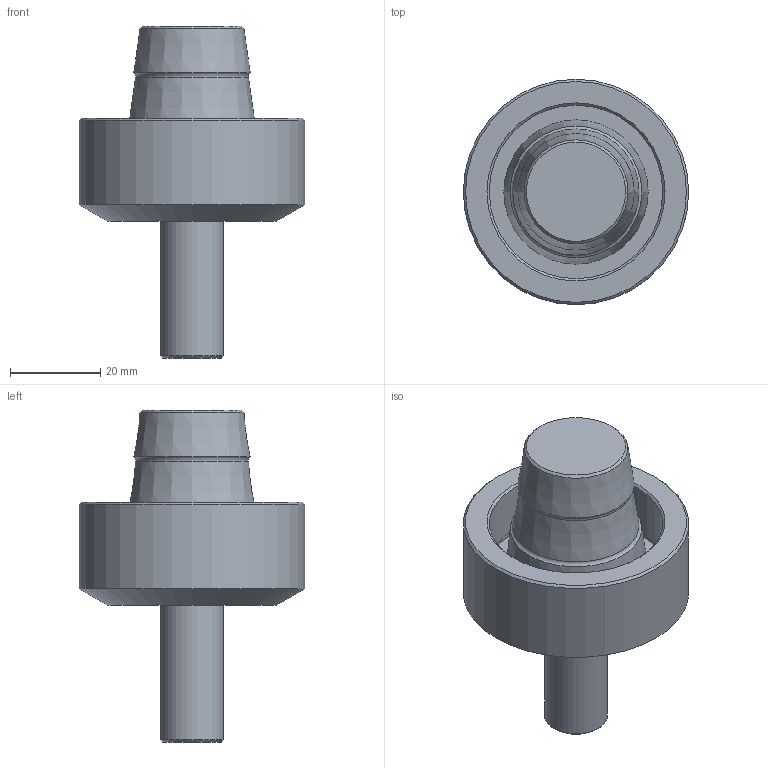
import cadquery as cq
import math

total_height = 73.65
rim_height = 53.21
cup_base_height = 30.36
ledge_height = 51.25
floor_height = 39.5
plug_step_height = 63.3

shank_radius = 14.0 / 2
cup_radius = 50.0 / 2
cup_base_radius = 18.75
cup_base_angle = 30.0
bore_radius = 38.5 / 2
undercut_radius = 40.5 / 2
undercut_height = 2.0
edge_chamfer = 0.5

taper_angle = 8.0
plug_foot_radius = 32.0 / 2
ledge_blend_height = 0.85
ledge_outer_radius = 14.6
plug_step_radius = 12.9
plug_neck_radius = 12.53
plug_neck_height = 62.3

taper = math.tan(math.radians(taper_angle))


def plug_top_radius():
    """Radius of the upper taper where it meets the top chamfer."""
    return plug_step_radius - taper * (total_height - edge_chamfer - plug_step_height)


def middle_taper_radius(height):
    """Radius of the middle taper at a height."""
    return plug_neck_radius + taper * (plug_neck_height - height)


def blend_middle(edge, tangent_point):
    """Middle of the concave arc from a sharp edge to its tangent point on the middle taper."""
    run = edge[0] - tangent_point[0]
    rise = edge[1] - tangent_point[1]
    chord_angle = math.atan2(run, abs(rise))
    taper_lean = math.copysign(math.radians(taper_angle), -rise)
    chord = math.hypot(run, rise)
    sagitta = chord / 2 * math.tan((chord_angle - taper_lean) / 2)
    return (
        (edge[0] + tangent_point[0]) / 2 - sagitta * abs(rise) / chord,
        (edge[1] + tangent_point[1]) / 2 + sagitta * math.copysign(run, rise) / chord,
    )


def half_profile():
    """Half section of the part, radius along X and height along Z."""
    cup_side_height = cup_base_height + (cup_radius - cup_base_radius) * math.tan(
        math.radians(cup_base_angle)
    )
    undercut_top = floor_height + undercut_height
    ledge_blend_top = ledge_height + ledge_blend_height
    ledge_blend_radius = middle_taper_radius(ledge_blend_top)
    top_radius = plug_top_radius()

    profile = cq.Workplane("XZ").moveTo(0, 0)

    profile = profile.lineTo(shank_radius - edge_chamfer, 0)
    profile = profile.lineTo(shank_radius, edge_chamfer)
    profile = profile.lineTo(shank_radius, cup_base_height)

    profile = profile.lineTo(cup_base_radius, cup_base_height)
    profile = profile.lineTo(cup_radius, cup_side_height)
    profile = profile.lineTo(cup_radius, rim_height - edge_chamfer)
    profile = profile.lineTo(cup_radius - edge_chamfer, rim_height)
    profile = profile.lineTo(bore_radius + edge_chamfer, rim_height)

    profile = profile.lineTo(bore_radius, rim_height - edge_chamfer)
    profile = profile.lineTo(bore_radius, undercut_top)
    profile = profile.lineTo(undercut_radius, undercut_top)
    profile = profile.lineTo(undercut_radius, floor_height)

    profile = profile.lineTo(plug_foot_radius, floor_height)
    profile = profile.lineTo(ledge_outer_radius, ledge_height)
    profile = profile.threePointArc(
        blend_middle((ledge_outer_radius, ledge_height), (ledge_blend_radius, ledge_blend_top)),
        (ledge_blend_radius, ledge_blend_top),
    )
    profile = profile.lineTo(plug_neck_radius, plug_neck_height)
    profile = profile.threePointArc(
        blend_middle((plug_step_radius, plug_step_height), (plug_neck_radius, plug_neck_height)),
        (plug_step_radius, plug_step_height),
    )
    profile = profile.lineTo(top_radius, total_height - edge_chamfer)
    profile = profile.lineTo(top_radius - edge_chamfer, total_height)
    profile = profile.lineTo(0, total_height)
    return profile.close()


result = half_profile().revolve(360, (0, 0, 0), (0, 1, 0))